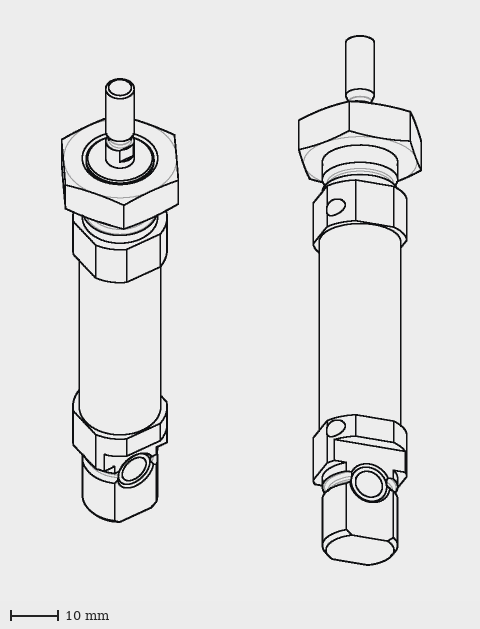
import cadquery as cq
import math

REAR_COLLAR_BOTTOM = 17.1
EYE_SHOULDER = 22.0
REAR_COLLAR_TOP = 27.1
FRONT_COLLAR_BOTTOM = 73.2
FRONT_COLLAR_TOP = 82.9
NUT_BOTTOM = 92.2
NUT_TOP = 100.2
TOTAL_LENGTH = 121.0

TUBE_DIAMETER = 17.3
COLLAR_DIAMETER = 20.0
COLLAR_ACROSS_FLATS = 18.0
THREAD_DIAMETER = 16.0
NECK_TIP_DIAMETER = 13.7
EYE_THICKNESS = 12.0
EYE_TIP_DIAMETER = 14.4
EYE_TIP_CHAMFER_HEIGHT = 1.1

UNDERCUT_DIAMETER = 13.7
UNDERCUT_LENGTH = 2.9
UNDERCUT_FILLET = 0.7
FRONT_UNDERCUT_SHOULDER = 85.2
REAR_UNDERCUT_SHOULDER = 15.0

EYE_HOLE_HEIGHT = 13.1
EYE_HOLE_DIAMETER = 6.0
EYE_RECESS_DIAMETER = 8.0
EYE_RECESS_MOUTH_DIAMETER = 9.1
EYE_RECESS_DEPTH = (EYE_RECESS_MOUTH_DIAMETER - EYE_RECESS_DIAMETER) / 2

PORT_DIAMETER = 3.8
PORT_OFFSET = 5.9
PORT_DEPTH = 4.8
PORT_HEIGHTS = (24.7, 77.2)

NUT_ACROSS_FLATS = 24.0
NUT_BORE_DIAMETER = 14.4
NUT_CHAMFER_ANGLE = 15.0

ROD_DIAMETER = 6.0
ROD_TIP_DIAMETER = 4.8
ROD_TIP_CHAMFER_HEIGHT = 0.4
ROD_UNDERCUT_DIAMETER = 4.8
ROD_UNDERCUT_SHOULDER = 105.3
ROD_UNDERCUT_LENGTH = 2.8
ROD_UNDERCUT_CONE_LENGTH = 1.5
ROD_UNDERCUT_FILLET = 0.4
ROD_ACROSS_FLATS = 5.0
ROD_FLATS_BOTTOM = 102.0

MARGIN = 1.2


def revolved(points):
    """Solid of revolution about Z from (radius, height) points."""
    return cq.Workplane("XZ").polyline(points).close().revolve(360, (0, 0), (0, 1))


def cylinder(diameter, bottom, top):
    return cq.Workplane("XY").workplane(offset=bottom).circle(diameter / 2).extrude(top - bottom)


def slab(x_size, y_size, bottom, top):
    return cq.Workplane("XY").workplane(offset=bottom).rect(x_size, y_size).extrude(top - bottom)


def undercut(outer_diameter, floor_diameter, shoulder, length, cone_length, fillet):
    """Ring to cut: a square shoulder on one side and a cone on the other.

    A positive length runs up from the shoulder, a negative one runs down.
    """
    outer = outer_diameter / 2
    floor = floor_diameter / 2
    direction = math.copysign(1, length)
    cone_end = shoulder + length
    ring = revolved([
        (outer, shoulder),
        (floor, shoulder),
        (floor, cone_end - direction * cone_length),
        (outer, cone_end),
    ])
    return ring.edges(cq.selectors.RadiusNthSelector(0)).fillet(fillet)


def make_collar(bottom, top):
    collar = cylinder(COLLAR_DIAMETER, bottom, top)
    return collar.intersect(slab(COLLAR_ACROSS_FLATS, COLLAR_ACROSS_FLATS, bottom, top))


def make_front_neck():
    """Threaded neck, reduced to the nut bore where it sits in the nut."""
    thread = THREAD_DIAMETER / 2
    bore = NUT_BORE_DIAMETER / 2
    tip = NECK_TIP_DIAMETER / 2
    return revolved([
        (0, FRONT_COLLAR_TOP),
        (thread, FRONT_COLLAR_TOP),
        (thread, NUT_BOTTOM),
        (bore, NUT_BOTTOM),
        (bore, NUT_TOP - (bore - tip)),
        (tip, NUT_TOP),
        (0, NUT_TOP),
    ])


def make_eye_blank():
    """Round rear end with a chamfered tip, before its sides are flattened."""
    radius = THREAD_DIAMETER / 2
    return revolved([
        (0, 0),
        (EYE_TIP_DIAMETER / 2, 0),
        (radius, EYE_TIP_CHAMFER_HEIGHT),
        (radius, REAR_COLLAR_BOTTOM),
        (0, REAR_COLLAR_BOTTOM),
    ])


def make_eye_hole():
    """Cross hole along X with a conical recess on both sides of the eye."""
    side = EYE_THICKNESS / 2
    hole = EYE_HOLE_DIAMETER / 2
    recess = EYE_RECESS_DIAMETER / 2
    mouth = EYE_RECESS_MOUTH_DIAMETER / 2
    floor = side - EYE_RECESS_DEPTH
    profile = [
        (-side, 0),
        (-side, mouth),
        (-floor, recess),
        (-floor, hole),
        (floor, hole),
        (floor, recess),
        (side, mouth),
        (side, 0),
    ]
    cutter = cq.Workplane("XY").polyline(profile).close().revolve(360, (0, 0), (1, 0))
    return cutter.translate((0, 0, EYE_HOLE_HEIGHT))


def make_port(height):
    """Blind port parallel to Y."""
    flat = COLLAR_ACROSS_FLATS / 2
    port = cq.Workplane("XZ").circle(PORT_DIAMETER / 2).extrude(PORT_DEPTH + MARGIN)
    return port.translate((-PORT_OFFSET, flat + MARGIN, height))


def make_housing():
    cone_length = (THREAD_DIAMETER - UNDERCUT_DIAMETER) / 2
    housing = make_eye_blank()
    housing = housing.union(make_collar(REAR_COLLAR_BOTTOM, REAR_COLLAR_TOP))
    housing = housing.union(cylinder(TUBE_DIAMETER, REAR_COLLAR_TOP, FRONT_COLLAR_BOTTOM))
    housing = housing.union(make_collar(FRONT_COLLAR_BOTTOM, FRONT_COLLAR_TOP))
    housing = housing.union(make_front_neck())

    undercuts = (
        (FRONT_UNDERCUT_SHOULDER, UNDERCUT_LENGTH),
        (REAR_UNDERCUT_SHOULDER, -UNDERCUT_LENGTH),
    )
    for shoulder, length in undercuts:
        ring = undercut(THREAD_DIAMETER, UNDERCUT_DIAMETER, shoulder, length, cone_length, UNDERCUT_FILLET)
        housing = housing.cut(ring)

    outside_eye = slab(2 * COLLAR_DIAMETER, 2 * COLLAR_DIAMETER, -MARGIN, EYE_SHOULDER)
    outside_eye = outside_eye.cut(slab(EYE_THICKNESS, 2 * COLLAR_DIAMETER, -MARGIN, EYE_SHOULDER))
    housing = housing.cut(outside_eye).cut(make_eye_hole())

    for height in PORT_HEIGHTS:
        housing = housing.cut(make_port(height))
    return housing


def make_nut():
    """Hexagon nut with its corners along Y and its bore chamfered at the top."""
    height = NUT_TOP - NUT_BOTTOM
    flat = NUT_ACROSS_FLATS / 2
    corner = flat / math.cos(math.radians(30))
    chamfer_height = (corner - flat) * math.tan(math.radians(NUT_CHAMFER_ANGLE))
    hexagon = cq.Workplane("XY").workplane(offset=NUT_BOTTOM).polygon(6, 2 * corner).extrude(height)
    hexagon = hexagon.rotate((0, 0, 0), (0, 0, 1), 90)
    corner_chamfers = revolved([
        (0, NUT_BOTTOM),
        (flat, NUT_BOTTOM),
        (corner, NUT_BOTTOM + chamfer_height),
        (corner, NUT_TOP - chamfer_height),
        (flat, NUT_TOP),
        (0, NUT_TOP),
    ])
    bore = NUT_BORE_DIAMETER / 2
    bore_mouth = THREAD_DIAMETER / 2
    bore_cutter = revolved([
        (0, NUT_BOTTOM),
        (bore, NUT_BOTTOM),
        (bore, NUT_TOP - (bore_mouth - bore)),
        (bore_mouth, NUT_TOP),
        (0, NUT_TOP),
    ])
    return hexagon.intersect(corner_chamfers).cut(bore_cutter)


def make_rod():
    """Rod standing on the housing, with two wrench flats below its thread."""
    radius = ROD_DIAMETER / 2
    rod = revolved([
        (0, NUT_TOP),
        (radius, NUT_TOP),
        (radius, TOTAL_LENGTH - ROD_TIP_CHAMFER_HEIGHT),
        (ROD_TIP_DIAMETER / 2, TOTAL_LENGTH),
        (0, TOTAL_LENGTH),
    ])
    rod = rod.cut(undercut(
        ROD_DIAMETER,
        ROD_UNDERCUT_DIAMETER,
        ROD_UNDERCUT_SHOULDER,
        ROD_UNDERCUT_LENGTH,
        ROD_UNDERCUT_CONE_LENGTH,
        ROD_UNDERCUT_FILLET,
    ))
    outside_flats = slab(2 * ROD_DIAMETER, 2 * ROD_DIAMETER, ROD_FLATS_BOTTOM, ROD_UNDERCUT_SHOULDER)
    between_flats = slab(ROD_ACROSS_FLATS, 2 * ROD_DIAMETER, ROD_FLATS_BOTTOM, ROD_UNDERCUT_SHOULDER)
    return rod.cut(outside_flats.cut(between_flats))


housing = make_housing()
nut = make_nut()
rod = make_rod()

result = cq.Compound.makeCompound([housing.val(), nut.val(), rod.val()])